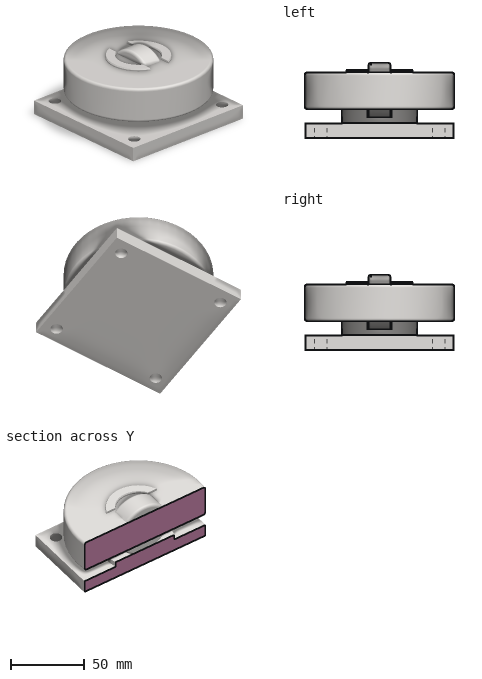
import cadquery as cq

plate_side = 100.0
plate_thickness = 10.0
hole_diameter = 8.4
hole_spacing = 79.9

disc_diameter = 101.2
disc_bottom = 19.4
disc_thickness = 25.0
disc_top = disc_bottom + disc_thickness
disc_fillet = 2.0

hub_diameter = 51.0
slot_width = 16.4
slot_floor = 14.2
hub_base_chamfer = 0.3

ring_outer_diameter = 45.0
ring_inner_diameter = 31.0
ring_height = 1.7
ring_bevel_height = 0.9
ring_bevel_width = 0.5

total_height = 51.0
roller_radius = 20.2
roller_width = 15.0
roller_fillet = 2.0
roller_center = total_height - roller_radius


def cylinder(diameter, bottom, top):
    """Upright cylinder on the Z axis."""
    return cq.Workplane("XY").workplane(offset=bottom).circle(diameter / 2).extrude(top - bottom)


def slot_cutter(bottom, top):
    """Block along X that clears the roller between two heights."""
    block = cq.Workplane("XY").workplane(offset=bottom)
    return block.rect(disc_diameter, slot_width).extrude(top - bottom)


def make_plate():
    plate = cq.Workplane("XY").rect(plate_side, plate_side).extrude(plate_thickness)
    holes = plate.faces(">Z").workplane().rect(hole_spacing, hole_spacing, forConstruction=True)
    return holes.vertices().hole(hole_diameter)


def make_hub():
    hub = cylinder(hub_diameter, plate_thickness, disc_bottom)
    hub = hub.faces("<Z").edges().chamfer(hub_base_chamfer)
    return hub.cut(slot_cutter(slot_floor, disc_bottom))


def make_disc():
    return cylinder(disc_diameter, disc_bottom, disc_top).edges().fillet(disc_fillet)


def make_split_ring():
    ring_top = disc_top + ring_height
    bevel_start = ring_top - ring_bevel_height
    outer_radius = ring_outer_diameter / 2
    inner_radius = ring_inner_diameter / 2
    profile = cq.Workplane("XZ").polyline([
        (inner_radius, disc_top),
        (outer_radius, disc_top),
        (outer_radius, bevel_start),
        (outer_radius - ring_bevel_width, ring_top),
        (inner_radius + ring_bevel_width, ring_top),
        (inner_radius, bevel_start),
    ]).close()
    ring = profile.revolve(360, (0, 0, 0), (0, 1, 0))
    return ring.cut(slot_cutter(disc_top, ring_top))


def make_roller():
    roller = cq.Workplane("XZ", origin=(0, 0, roller_center)).circle(roller_radius)
    return roller.extrude(roller_width / 2, both=True).edges().fillet(roller_fillet)


result = make_plate()
for piece in (make_hub(), make_disc(), make_split_ring(), make_roller()):
    result = result.union(piece)